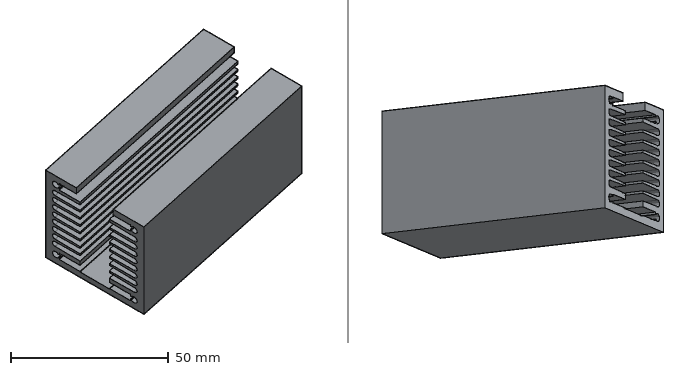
import cadquery as cq
import math

length = 80.2
width = 40.2
height = 40.0

wall = 2.8
top_thickness = 2.7
floor_thickness = 2.7
floor_relief_depth = 0.25
mouth_width = 15.1
fin_gap = 12.0

groove_height = 2.8
groove_end = 14.5
port_radius = 1.3
port_offset = 0.1
neck_width = 1.5

channel_count = 8
channel_span = 23.25
first_channel_z = 11.95
channel_root_height = 2.2
channel_taper_angle = 1.0

fin_tip = fin_gap / 2
cavity_side = width / 2 - wall
cavity_top = height / 2 - top_thickness
cavity_floor = floor_thickness - height / 2
port_x = cavity_side - port_radius
channel_pitch = channel_span / (channel_count - 1)
upper_groove_z = cavity_top - groove_height / 2
lower_groove_z = cavity_floor + groove_height / 2


def prism(profile):
    """Extrude an XZ profile along the full length, centred on Y."""
    return profile.extrude(length / 2, both=True)


def box(x_min, x_max, z_min, z_max):
    """Full-length block between the given X and Z limits."""
    centre = ((x_min + x_max) / 2, (z_min + z_max) / 2)
    return prism(cq.Workplane("XZ").center(*centre).rect(x_max - x_min, z_max - z_min))


def central_opening():
    """Gap between the fin tips, joined to the floor relief and the wider top mouth."""
    relief_floor = cavity_floor - floor_relief_depth
    gap = box(-fin_tip, fin_tip, relief_floor, cavity_top)
    mouth = box(-mouth_width / 2, mouth_width / 2, cavity_top, height / 2)
    return gap.union(mouth)


def corner_groove(z, port_z):
    """Right-hand flat groove that opens through a narrow neck into a round port."""
    flat = box(0, groove_end, z - groove_height / 2, z + groove_height / 2)
    neck = box(0, port_x, port_z - neck_width / 2, port_z + neck_width / 2)
    port = prism(cq.Workplane("XZ").center(port_x, port_z).circle(port_radius))
    return flat.union(neck).union(port)


def fin_channel(z):
    """Right-hand channel with a full-round root, widening towards the fin tips."""
    root_radius = channel_root_height / 2
    arc_x = cavity_side - root_radius
    tip_half = root_radius + (arc_x - fin_tip) * math.tan(math.radians(channel_taper_angle))
    return prism(
        cq.Workplane("XZ")
        .moveTo(fin_tip, z - tip_half)
        .lineTo(arc_x, z - root_radius)
        .threePointArc((cavity_side, z), (arc_x, z + root_radius))
        .lineTo(fin_tip, z + tip_half)
        .close()
    )


result = box(-width / 2, width / 2, -height / 2, height / 2).cut(central_opening())

side_cuts = [
    corner_groove(upper_groove_z, upper_groove_z + port_offset),
    corner_groove(lower_groove_z, lower_groove_z - port_offset),
]
side_cuts += [fin_channel(first_channel_z - i * channel_pitch) for i in range(channel_count)]
for cut in side_cuts:
    result = result.cut(cut).cut(cut.mirror("YZ"))